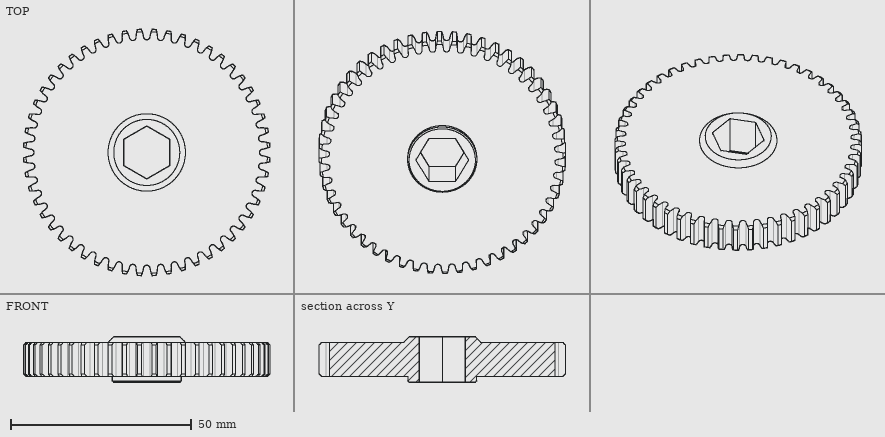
import cadquery as cq
import math

OVERALL_WIDTH = 68.5
TOOTH_COUNT = 52
PRESSURE_ANGLE = math.radians(14.5)
TOOTH_FILL = 0.94
TOOTH_DEPTH = 2.95
ROOT_ROUND = 0.9
TIP_CHAMFER = 0.75
GEAR_THICKNESS = 9.5

HUB_HEIGHT = 1.6
UPPER_HUB_DIAMETER = 21.5
UPPER_HUB_TAPER = 45
LOWER_HUB_DIAMETER = 19.25
LOWER_HUB_CHAMFER = 0.4
HEX_SIDES = 6
HEX_ACROSS_FLATS = 12.7

FLANK_POINTS = 4
CUT_CLEARANCE = 0.7


def involute(angle):
    return math.tan(angle) - angle


half_pitch_angle = math.pi / TOOTH_COUNT
pitch_to_tip = TOOTH_COUNT / (TOOTH_COUNT + 2)
base_to_tip = pitch_to_tip * math.cos(PRESSURE_ANGLE)
base_half_tooth = TOOTH_FILL * half_pitch_angle / 2 + involute(PRESSURE_ANGLE)
tip_half_tooth = base_half_tooth - involute(math.acos(base_to_tip))

tip_radius = OVERALL_WIDTH / 2 / math.cos(half_pitch_angle - tip_half_tooth)
base_radius = tip_radius * base_to_tip
root_radius = tip_radius - TOOTH_DEPTH
flank_start_radius = root_radius + ROOT_ROUND


def flank_point(radius):
    """Point on the upper flank of the gap centred on +X."""
    half_gap = half_pitch_angle - base_half_tooth + involute(math.acos(base_radius / radius))
    return radius * math.cos(half_gap), radius * math.sin(half_gap)


def mirrored(point):
    return point[0], -point[1]


def gap_cutter():
    """Prism filling the tooth gap centred on +X: involute flanks and a rounded root."""
    flank_step = (tip_radius - flank_start_radius) / (FLANK_POINTS - 1)
    upper_flank = [flank_point(flank_start_radius + i * flank_step) for i in range(FLANK_POINTS)]
    lower_flank = [mirrored(point) for point in reversed(upper_flank)]
    outer_corner = (tip_radius + CUT_CLEARANCE, upper_flank[-1][1])

    return (
        cq.Workplane("XY")
        .workplane(offset=-GEAR_THICKNESS / 2 - CUT_CLEARANCE)
        .moveTo(*lower_flank[-1])
        .threePointArc((root_radius, 0), upper_flank[0])
        .spline(upper_flank[1:], includeCurrent=True)
        .lineTo(*outer_corner)
        .lineTo(*mirrored(outer_corner))
        .lineTo(*lower_flank[0])
        .spline(lower_flank[1:], includeCurrent=True)
        .close()
        .extrude(GEAR_THICKNESS + 2 * CUT_CLEARANCE)
    )


def toothed_disc():
    disc = cq.Workplane("XY").circle(tip_radius).extrude(GEAR_THICKNESS / 2, both=True)
    disc = disc.faces("|Z").edges().chamfer(TIP_CHAMFER)
    cutter = gap_cutter().val()
    axis_start = cq.Vector(0, 0, 0)
    axis_end = cq.Vector(0, 0, 1)
    gaps = []
    for i in range(TOOTH_COUNT):
        gaps.append(cutter.rotate(axis_start, axis_end, i * 360 / TOOTH_COUNT))
    return cq.Workplane("XY").newObject([disc.val().cut(*gaps)])


def upper_hub():
    hub = cq.Workplane("XY").circle(UPPER_HUB_DIAMETER / 2).extrude(HUB_HEIGHT, taper=UPPER_HUB_TAPER)
    return hub.translate((0, 0, GEAR_THICKNESS / 2))


def lower_hub():
    hub = cq.Workplane("XY").circle(LOWER_HUB_DIAMETER / 2).extrude(-HUB_HEIGHT)
    hub = hub.faces("<Z").edges().chamfer(LOWER_HUB_CHAMFER)
    return hub.translate((0, 0, -GEAR_THICKNESS / 2))


def hex_bore():
    across_corners = HEX_ACROSS_FLATS / math.cos(math.pi / HEX_SIDES)
    half_length = GEAR_THICKNESS / 2 + HUB_HEIGHT + CUT_CLEARANCE
    bore = cq.Workplane("XY").polygon(HEX_SIDES, across_corners).extrude(half_length, both=True)
    return bore.rotate((0, 0, 0), (0, 0, 1), 180 / HEX_SIDES)


result = toothed_disc().union(upper_hub()).union(lower_hub()).cut(hex_bore())